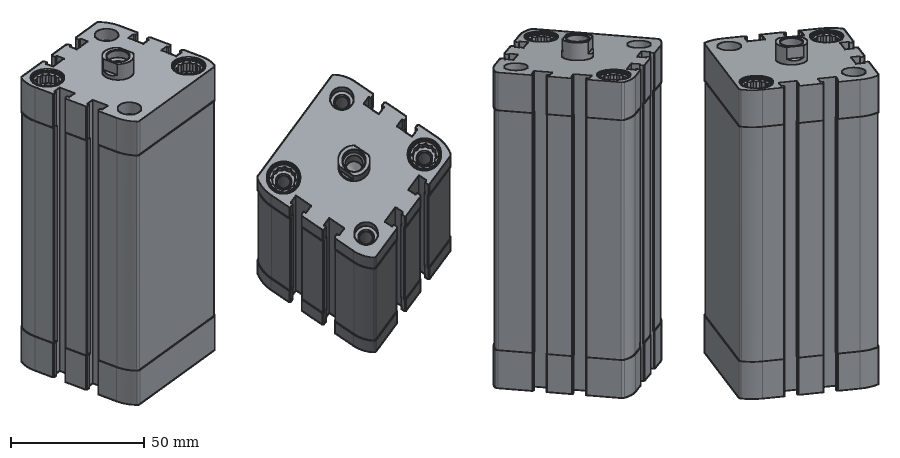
import cadquery as cq
import math

WIDTH = 54.5
TOTAL_HEIGHT = 131.7
ROD_PROTRUSION = 7.0
HOUSING_HEIGHT = TOTAL_HEIGHT - ROD_PROTRUSION
END_CAP_HEIGHT = 15.0
HALF_WIDTH = WIDTH / 2

SCREW_OFFSET = 19.0
CORNER_RADIUS = 14.2
EDGE_RADIUS = 1.2
TUBE_INSET = 0.3

SLOT_OFFSET = 7.6
SLOT_MOUTH_WIDTH = 5.0
SLOT_WIDTH = 7.0
SLOT_MOUTH_CHAMFER = 0.4
SLOT_DEPTH = 5.3
CAP_SLOT_LIP = 1.8
TUBE_SLOT_LIP = 2.2

THROUGH_DIAMETER = 4.9
CHAMFER_DIAMETER = 6.0
COUNTERBORE_DIAMETER = 9.0
COUNTERBORE_DEPTH = 5.1
SCREW_RIM_DIAMETER = 12.8
SCREW_RING_DIAMETER = 11.9
SCREW_RING_DEPTH = 1.0
LEAD_IN_DIAMETER = 10.8
SPLINE_DEPTH = 1.6
SPLINE_ROOT_DIAMETER = 9.5
SPLINE_TIP_DIAMETER = 8.4
SPLINE_POINTS = 12

ROD_DIAMETER = 12.0
ROD_INSERTION = 15.0
FLAT_SPACING = 10.0
FLAT_HEIGHT = 4.7
FLAT_RUN_OUT = 0.7
ROD_MOUTH_DIAMETER = 9.0
ROD_COUNTERBORE_DIAMETER = 8.4
ROD_COUNTERBORE_DEPTH = 3.3
ROD_BORE_DIAMETER = 6.6
ROD_BORE_DEPTH = 12.0
DRILL_TIP_ANGLE = 118


def block(inset, bottom, top):
    """Prism with four arced corners, its sides moved inward by inset."""
    half = HALF_WIDTH - inset
    radius = CORNER_RADIUS - inset
    arc_center = HALF_WIDTH - CORNER_RADIUS
    side_y = arc_center + math.sqrt(radius**2 - (half - SCREW_OFFSET) ** 2)
    mid_angle = math.atan2(side_y - arc_center, half - SCREW_OFFSET) / 2 + math.pi / 4
    arc_mid_x = SCREW_OFFSET + radius * math.cos(mid_angle)
    arc_mid_y = arc_center + radius * math.sin(mid_angle)
    outline = (
        cq.Workplane("XY", origin=(0, 0, bottom))
        .moveTo(-SCREW_OFFSET, half)
        .lineTo(SCREW_OFFSET, half)
        .threePointArc((arc_mid_x, arc_mid_y), (half, side_y))
        .lineTo(half, -side_y)
        .threePointArc((arc_mid_x, -arc_mid_y), (SCREW_OFFSET, -half))
        .lineTo(-SCREW_OFFSET, -half)
        .threePointArc((-arc_mid_x, -arc_mid_y), (-half, -side_y))
        .lineTo(-half, side_y)
        .threePointArc((-arc_mid_x, arc_mid_y), (-SCREW_OFFSET, half))
        .close()
    )
    prism = outline.extrude(top - bottom)
    return prism.edges("|Z and (>X or <X)").fillet(EDGE_RADIUS)


def slot_cutter(angle, offset, inset, lip, bottom, top):
    """T-slot opening toward -X with a chamfered mouth, then turned about Z by angle."""
    chamfer_end = inset + SLOT_MOUTH_CHAMFER
    half_mouth = SLOT_MOUTH_WIDTH / 2
    half_slot = SLOT_WIDTH / 2
    upper_side = [
        (inset, half_mouth + SLOT_MOUTH_CHAMFER),
        (chamfer_end, half_mouth),
        (lip, half_mouth),
        (lip, half_slot),
        (SLOT_DEPTH, half_slot),
    ]
    lower_side = [(x, -y) for x, y in reversed(upper_side)]
    slot = (
        cq.Workplane("XY", origin=(-HALF_WIDTH, offset, bottom))
        .polyline(upper_side + lower_side)
        .close()
        .extrude(top - bottom)
    )
    return slot.rotate((0, 0, 0), (0, 0, 1), angle)


def slotted_block(inset, lip, bottom, top):
    """Length of housing profile with two T-slots in the -X, -Y and +Y sides."""
    section = block(inset, bottom, top)
    for angle in (0, 90, -90):
        for offset in (-SLOT_OFFSET, SLOT_OFFSET):
            section = section.cut(slot_cutter(angle, offset, inset, lip, bottom, top))
    return section


def hole_profile(points):
    """Revolved cutter from (radius, depth below the top face) points, closed along the axis."""
    outline = [(0, HOUSING_HEIGHT - points[0][1])]
    outline += [(radius, HOUSING_HEIGHT - depth) for radius, depth in points]
    if points[-1][0] > 0:
        outline += [(0, HOUSING_HEIGHT - points[-1][1])]
    return cq.Workplane("XZ").polyline(outline).close().revolve(360, (0, 0), (0, 1))


def through_hole(floor_depth):
    """Through hole with a chamfered edge at the given floor depth."""
    chamfer = (CHAMFER_DIAMETER - THROUGH_DIAMETER) / 2
    return hole_profile([
        (CHAMFER_DIAMETER / 2, floor_depth),
        (THROUGH_DIAMETER / 2, floor_depth + chamfer),
        (THROUGH_DIAMETER / 2, HOUSING_HEIGHT),
    ])


def counterbored_hole():
    counterbore = hole_profile([
        (COUNTERBORE_DIAMETER / 2, 0),
        (COUNTERBORE_DIAMETER / 2, COUNTERBORE_DEPTH),
    ])
    return counterbore.union(through_hole(COUNTERBORE_DEPTH))


def socket_hole():
    """Chamfered round mouth leading to a twelve-point star socket and a through hole."""
    mouth_chamfer = (SCREW_RIM_DIAMETER - SCREW_RING_DIAMETER) / 2
    mouth = hole_profile([
        (SCREW_RIM_DIAMETER / 2, 0),
        (SCREW_RING_DIAMETER / 2, mouth_chamfer),
        (SCREW_RING_DIAMETER / 2, SCREW_RING_DEPTH),
        (LEAD_IN_DIAMETER / 2, SCREW_RING_DEPTH),
        (SPLINE_TIP_DIAMETER / 2, SPLINE_DEPTH),
    ])
    star_points = []
    for index in range(2 * SPLINE_POINTS):
        angle = math.pi * index / SPLINE_POINTS
        radius = (SPLINE_TIP_DIAMETER if index % 2 else SPLINE_ROOT_DIAMETER) / 2
        star_points.append((radius * math.cos(angle), radius * math.sin(angle)))
    star = (
        cq.Workplane("XY", origin=(0, 0, HOUSING_HEIGHT - COUNTERBORE_DEPTH))
        .polyline(star_points)
        .close()
        .extrude(COUNTERBORE_DEPTH - SCREW_RING_DEPTH)
    )
    return mouth.union(star).union(through_hole(COUNTERBORE_DEPTH))


def make_housing():
    tube_top = HOUSING_HEIGHT - END_CAP_HEIGHT
    housing = (
        slotted_block(TUBE_INSET, TUBE_SLOT_LIP, END_CAP_HEIGHT, tube_top)
        .union(slotted_block(0, CAP_SLOT_LIP, 0, END_CAP_HEIGHT))
        .union(slotted_block(0, CAP_SLOT_LIP, tube_top, HOUSING_HEIGHT))
    )
    for side in (-1, 1):
        housing = housing.cut(counterbored_hole().translate((side * SCREW_OFFSET, -side * SCREW_OFFSET, 0)))
        housing = housing.cut(socket_hole().translate((side * SCREW_OFFSET, side * SCREW_OFFSET, 0)))
    rod_seat = hole_profile([(ROD_DIAMETER / 2, 0), (ROD_DIAMETER / 2, ROD_INSERTION)])
    return housing.cut(rod_seat)


def make_piston_rod():
    """Round rod with two wrench flats and a stepped blind hole in its end."""
    rod = (
        cq.Workplane("XY", origin=(0, 0, HOUSING_HEIGHT - ROD_INSERTION))
        .circle(ROD_DIAMETER / 2)
        .extrude(ROD_INSERTION + ROD_PROTRUSION)
    )
    flat_bottom = TOTAL_HEIGHT - FLAT_HEIGHT
    for side in (-1, 1):
        flat = (
            cq.Workplane("YZ")
            .polyline([
                (side * FLAT_SPACING / 2, TOTAL_HEIGHT),
                (side * FLAT_SPACING / 2, flat_bottom),
                (side * ROD_DIAMETER / 2, flat_bottom - FLAT_RUN_OUT),
                (side * ROD_DIAMETER / 2, TOTAL_HEIGHT),
            ])
            .close()
            .extrude(ROD_DIAMETER / 2, both=True)
        )
        rod = rod.cut(flat)
    mouth_chamfer = (ROD_MOUTH_DIAMETER - ROD_COUNTERBORE_DIAMETER) / 2
    step = (ROD_COUNTERBORE_DIAMETER - ROD_BORE_DIAMETER) / 2
    tip_depth = ROD_BORE_DEPTH + ROD_BORE_DIAMETER / 2 / math.tan(math.radians(DRILL_TIP_ANGLE / 2))
    bore = hole_profile([
        (ROD_MOUTH_DIAMETER / 2, 0),
        (ROD_COUNTERBORE_DIAMETER / 2, mouth_chamfer),
        (ROD_COUNTERBORE_DIAMETER / 2, ROD_COUNTERBORE_DEPTH),
        (ROD_BORE_DIAMETER / 2, ROD_COUNTERBORE_DEPTH + step),
        (ROD_BORE_DIAMETER / 2, ROD_BORE_DEPTH),
        (0, tip_depth),
    ])
    return rod.cut(bore.translate((0, 0, ROD_PROTRUSION)))


housing = make_housing()
piston_rod = make_piston_rod()
result = cq.Compound.makeCompound([housing.val(), piston_rod.val()])